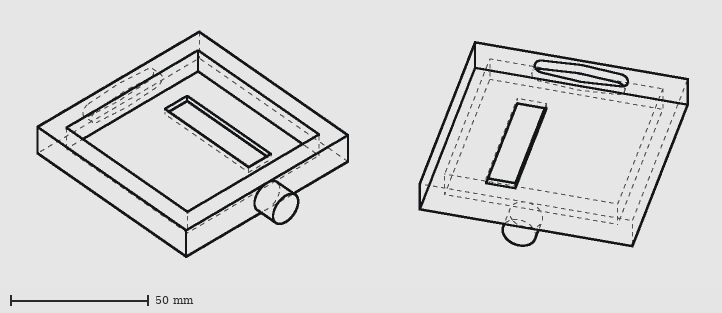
import cadquery as cq
import math

tray_side = 80.0
tray_height = 12.5
wall = 7.5
floor_thickness = 2.5

total_length = 90.0
stub_length = total_length - tray_side
stub_diameter = tray_height

window_length = 45.0
window_width = 11.0
window_left_margin = 15.0
window_back_margin = 19.8

grip_length = 35.0
grip_mid_height = 8.3
grip_end_radius = 3.0
grip_depth = 4.6


def tray():
    pocket_side = tray_side - 2 * wall
    block = cq.Workplane("XY").box(tray_side, tray_side, tray_height, centered=(True, True, False))
    pocket = (
        cq.Workplane("XY", origin=(0, 0, floor_thickness))
        .rect(pocket_side, pocket_side)
        .extrude(tray_height - floor_thickness)
    )
    return block.cut(pocket)


def stub():
    return (
        cq.Workplane("YZ", origin=(tray_side / 2, 0, tray_height / 2))
        .circle(stub_diameter / 2)
        .extrude(stub_length)
    )


def window():
    center_x = -tray_side / 2 + window_left_margin + window_length / 2
    center_y = tray_side / 2 - window_back_margin - window_width / 2
    return cq.Workplane("XY").center(center_x, center_y).rect(window_length, window_width).extrude(floor_thickness)


def grip_recess():
    tip = grip_length / 2
    peak = grip_mid_height / 2
    end_center = tip - grip_end_radius
    peak_distance = math.hypot(end_center, peak)
    tangent_angle = math.atan2(peak, -end_center) - math.acos(grip_end_radius / peak_distance)
    tangent_y = end_center + grip_end_radius * math.cos(tangent_angle)
    tangent_z = grip_end_radius * math.sin(tangent_angle)
    return (
        cq.Workplane("YZ", origin=(-tray_side / 2, 0, tray_height / 2))
        .moveTo(0, peak)
        .lineTo(tangent_y, tangent_z)
        .threePointArc((tip, 0), (tangent_y, -tangent_z))
        .lineTo(0, -peak)
        .lineTo(-tangent_y, -tangent_z)
        .threePointArc((-tip, 0), (-tangent_y, tangent_z))
        .close()
        .extrude(grip_depth)
    )


result = tray().union(stub()).cut(window()).cut(grip_recess())